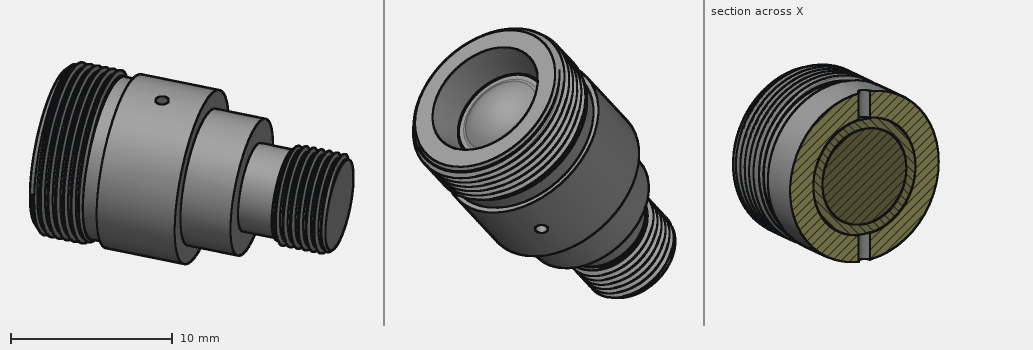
import cadquery as cq
import math


overall_length = 18.52
thread_length = 3.5
front_groove_end = 4.5
barrel_end = 9.57
shoulder_end = 12.82
rear_thread_start = overall_length - thread_length
front_groove_radius = 5.15
barrel_radius = 5.5
shoulder_radius = 4.325
rear_neck_radius = 2.8

pitch = 0.5
ridge_half_angle = math.radians(30)
thread_depth = 0.6134 * pitch
front_crest_radius = barrel_radius
rear_crest_radius = 3.175
front_face_radius = 5.0
front_chamfer = front_crest_radius - front_face_radius
ridge_sink = 0.05

recess_mouth_radius = 3.75
recess_floor_radius = 3.15
recess_depth = 2.1

glue_hole_radius = 0.4
glue_hole_x = 7.0
sleeve_radius = recess_mouth_radius
sleeve_start = recess_depth
sleeve_end = 2 * glue_hole_x - sleeve_start

lens_radius = 3.075
lens_dome_apex = 1.0
lens_dome_radius = 2.56
lens_blend_radius = 2.74


def disc(start, end, radius):
    """Solid cylinder on the X axis between two positions."""
    return cq.Workplane("YZ").workplane(offset=start).circle(radius).extrude(end - start)


def turned(outline):
    """Turn a workplane outline, drawn as (x, radius), about the X axis."""
    return outline.close().revolve(360, (0, 0, 0), (1, 0, 0))


def thread(start, crest_radius, front_chamfer_size):
    """Threaded length with both ends chamfered, the rear one down to the root."""
    root_radius = crest_radius - thread_depth
    end = start + thread_length
    blank = disc(start, end, crest_radius)
    blank = blank.faces("<X").chamfer(front_chamfer_size)
    blank = blank.faces(">X").chamfer(thread_depth)
    core = disc(start, end, root_radius).intersect(blank)
    ridge = thread_ridge(start, root_radius, crest_radius).intersect(blank)
    return core.union(ridge)


def thread_ridge(start, root_radius, crest_radius):
    """Helical ridge that runs one pitch past both ends of a thread."""
    base_radius = root_radius - ridge_sink
    half_width = (crest_radius - base_radius) * math.tan(ridge_half_angle)
    helix = cq.Wire.makeHelix(pitch, thread_length + 2 * pitch, base_radius)
    ridge = (
        cq.Workplane("XZ")
        .moveTo(base_radius, -half_width)
        .lineTo(crest_radius, 0)
        .lineTo(base_radius, half_width)
        .close()
        .sweep(cq.Workplane(obj=helix), isFrenet=True)
    )
    return ridge.rotate((0, 0, 0), (0, 1, 0), 90).translate((start - pitch, 0, 0))


def make_housing():
    recess = turned(
        cq.Workplane("XY")
        .lineTo(0, recess_mouth_radius)
        .lineTo(recess_depth, recess_floor_radius)
        .lineTo(recess_depth, 0)
    )
    glue_holes = (
        cq.Workplane("XY")
        .center(glue_hole_x, 0)
        .circle(glue_hole_radius)
        .extrude(barrel_radius, both=True)
    )
    sleeve_bore = disc(sleeve_start, sleeve_end, sleeve_radius)
    return (
        disc(thread_length, front_groove_end, front_groove_radius)
        .union(disc(front_groove_end, barrel_end, barrel_radius))
        .union(disc(barrel_end, shoulder_end, shoulder_radius))
        .union(disc(shoulder_end, rear_thread_start, rear_neck_radius))
        .union(thread(0, front_crest_radius, front_chamfer))
        .union(thread(rear_thread_start, rear_crest_radius, thread_depth))
        .cut(recess)
        .cut(sleeve_bore)
        .cut(glue_holes)
    )


def make_sleeve():
    tube = disc(sleeve_start, sleeve_end, sleeve_radius)
    return tube.cut(disc(sleeve_start, sleeve_end, lens_radius))


def make_lens():
    half_turn = math.atan((sleeve_start - lens_dome_apex) / lens_blend_radius)
    dome_end = lens_dome_apex + lens_dome_radius * math.tan(half_turn)
    dome_sphere_radius = lens_dome_radius / math.sin(2 * half_turn)
    dome_middle = (
        lens_dome_apex + dome_sphere_radius * (1 - math.cos(half_turn)),
        dome_sphere_radius * math.sin(half_turn),
    )
    return turned(
        cq.Workplane("XY")
        .moveTo(lens_dome_apex, 0)
        .threePointArc(dome_middle, (dome_end, lens_dome_radius))
        .tangentArcPoint((sleeve_start, lens_blend_radius), relative=False)
        .lineTo(sleeve_start, lens_radius)
        .lineTo(sleeve_end, lens_radius)
        .lineTo(sleeve_end, 0)
    )


housing = make_housing()
sleeve = make_sleeve()
lens = make_lens()

result = cq.Compound.makeCompound([housing.val(), sleeve.val(), lens.val()])